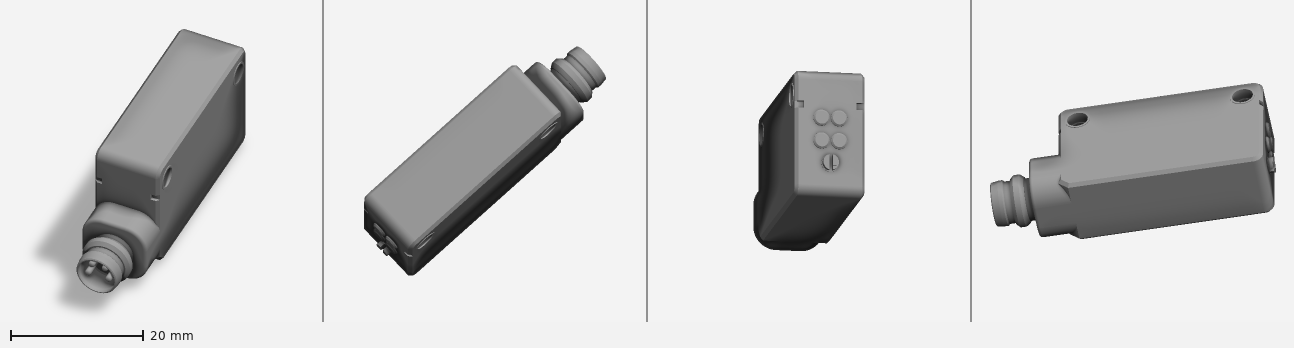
import cadquery as cq


BODY_WIDTH = 10.8
BODY_LENGTH = 31.5
BODY_HEIGHT = 19.5
CORNER_RADIUS = 1.5
FOOT_CHAMFER = 1.5
EDGE_CHAMFER = 0.5

BUSHING_RISE = 0.1
BUSHING_DIAMETER = 3.85
COUNTERBORE_DIAMETER = 3.2
COUNTERBORE_DEPTH = 1.75
HOLE_DIAMETER = 2.6
HOLE_INSET = 3.05
HOLE_DROP = 3.45

NOTCH_BOTTOM = 13.5
NOTCH_HEIGHT = 1.05
NOTCH_WIDTH = 1.35
NOTCH_DEPTH = 0.5

BOSS_REACH = 4.5
BOSS_HEIGHT = 10.35
BOSS_CORNER_RADIUS = 3.5
BOSS_FRONT_FILLET = 0.5

AXIS_HEIGHT = 5.05
CONNECTOR_LENGTH = 6.3
CONNECTOR_ROOT_DEPTH = 0.5
NECK_RADIUS = 3.25
COLLAR_RADIUS = 4.0
COLLAR_SIDE_RADIUS = 3.5
COLLAR_START = 1.1
COLLAR_FLAT_START = 1.8
COLLAR_FLAT_END = 2.7
COLLAR_END = 3.25
LIP_RADIUS = 3.5
LIP_START = 4.25
LIP_BEVEL = 0.25
LIP_FLAT_END = 5.1
TIP_RADIUS = 3.35
TIP_CHAMFER = 0.15
SOCKET_RADIUS = 3.05
SOCKET_FLOOR_BEVEL = 0.2
SOCKET_DEPTH = 4.0

PIN_DIAMETER = 1.0
PIN_RECESS = 0.45
PIN_END_FILLET = 0.4
PIN_ROOT_DEPTH = 0.5
UPPER_PIN_X = 1.1
UPPER_PIN_RISE = 1.45
LOWER_PIN_X = 1.7
LOWER_PIN_DROP = 0.5

LENS_RADIUS = 1.25
LENS_BEVEL = 0.25
LENS_HEIGHT = 0.42
LENS_X = 1.35
LENS_LEVELS = (12.0, 8.45)
ADJUSTER_RADIUS = 1.2
ADJUSTER_HEIGHT = 0.9
ADJUSTER_LEVEL = 5.0
ADJUSTER_BASE_RADIUS = 1.35
ADJUSTER_BASE_HEIGHT = 0.1
ADJUSTER_STEP_DEPTH = 0.12
ADJUSTER_STEP_DROP = 0.6
SLOT_WIDTH = 0.55

HALF_WIDTH = BODY_WIDTH / 2
TIP_Y = -BOSS_REACH - CONNECTOR_LENGTH
SOCKET_FLOOR_Y = TIP_Y + SOCKET_DEPTH


def box_between(x_range, y_range, z_range):
    """Axis-aligned box between the given limits."""
    corner = (x_range[0], y_range[0], z_range[0])
    size = (x_range[1] - x_range[0], y_range[1] - y_range[0], z_range[1] - z_range[0])
    return cq.Workplane("XY").box(*size, centered=False).translate(corner)


def rod(radius, start_y, length, x, z):
    """Cylinder running from start_y toward +Y."""
    return cq.Workplane(cq.Solid.makeCylinder(radius, length, cq.Vector(x, start_y, z), cq.Vector(0, 1, 0)))


def housing():
    """Flat housing with rounded corners, a sloped front foot and bevelled side edges."""
    body = box_between((-HALF_WIDTH, HALF_WIDTH), (0, BODY_LENGTH), (0, BODY_HEIGHT))
    body = body.edges("|X").edges(">Z or >Y").fillet(CORNER_RADIUS)
    body = body.faces("<Y").edges("<Z").chamfer(FOOT_CHAMFER)
    return body.faces("<X or >X").edges().chamfer(EDGE_CHAMFER)


def boss():
    """Rounded block at the lower front, running back inside the housing."""
    block = box_between((-HALF_WIDTH, HALF_WIDTH), (-BOSS_REACH, FOOT_CHAMFER), (0, BOSS_HEIGHT))
    block = block.edges("|Y").fillet(BOSS_CORNER_RADIUS)
    return block.faces("<Y").edges().fillet(BOSS_FRONT_FILLET)


def add_bushings(body):
    """Raised rings round the mounting holes, counterbored from both sides."""
    hole_z = BODY_HEIGHT - HOLE_DROP
    full_width = BODY_WIDTH + 2 * BUSHING_RISE
    web_width = full_width - 2 * COUNTERBORE_DEPTH
    for hole_y in (HOLE_INSET, BODY_LENGTH - HOLE_INSET):
        def across(diameter, width):
            plane = cq.Workplane("YZ").center(hole_y, hole_z)
            return plane.circle(diameter / 2).extrude(width / 2, both=True)

        bore = across(COUNTERBORE_DIAMETER, full_width).cut(across(COUNTERBORE_DIAMETER, web_width))
        bore = bore.union(across(HOLE_DIAMETER, full_width))
        body = body.union(across(BUSHING_DIAMETER, full_width)).cut(bore)
    return body


def cut_notches(body):
    """Small notches in the four upright edges."""
    z_range = (NOTCH_BOTTOM, NOTCH_BOTTOM + NOTCH_HEIGHT)
    inner_x = HALF_WIDTH - NOTCH_WIDTH
    for x_range in ((-HALF_WIDTH, -inner_x), (inner_x, HALF_WIDTH)):
        for y_range in ((0, NOTCH_DEPTH), (BODY_LENGTH - NOTCH_DEPTH, BODY_LENGTH)):
            body = body.cut(box_between(x_range, y_range, z_range))
    return body


def connector():
    """Turned plug with a collar, a snap lip and a round socket open at the tip."""
    socket_floor = CONNECTOR_LENGTH - SOCKET_DEPTH
    root = -CONNECTOR_ROOT_DEPTH
    profile = [
        (0, root),
        (NECK_RADIUS, root),
        (NECK_RADIUS, COLLAR_START),
        (COLLAR_SIDE_RADIUS, COLLAR_START),
        (COLLAR_RADIUS, COLLAR_FLAT_START),
        (COLLAR_RADIUS, COLLAR_FLAT_END),
        (COLLAR_SIDE_RADIUS, COLLAR_END),
        (NECK_RADIUS, COLLAR_END),
        (NECK_RADIUS, LIP_START),
        (LIP_RADIUS, LIP_START + LIP_BEVEL),
        (LIP_RADIUS, LIP_FLAT_END),
        (TIP_RADIUS, CONNECTOR_LENGTH - TIP_CHAMFER),
        (TIP_RADIUS - TIP_CHAMFER, CONNECTOR_LENGTH),
        (SOCKET_RADIUS, CONNECTOR_LENGTH),
        (SOCKET_RADIUS, socket_floor + SOCKET_FLOOR_BEVEL),
        (SOCKET_RADIUS - SOCKET_FLOOR_BEVEL, socket_floor),
        (0, socket_floor),
    ]
    turned = cq.Workplane("XY").polyline(profile).close().revolve(360, (0, 0, 0), (0, 1, 0))
    turned = turned.mirror("XZ")
    return turned.translate((0, -BOSS_REACH, AXIS_HEIGHT))


def pins():
    """Four round-ended contact pins rooted in the socket floor."""
    radius = PIN_DIAMETER / 2
    end_y = TIP_Y + PIN_RECESS
    length = SOCKET_FLOOR_Y + PIN_ROOT_DEPTH - end_y
    group = cq.Workplane("XY")
    for side in (-1, 1):
        for x, rise in ((UPPER_PIN_X, UPPER_PIN_RISE), (LOWER_PIN_X, -LOWER_PIN_DROP)):
            pin = rod(radius, end_y, length, side * x, AXIS_HEIGHT + rise)
            group = group.add(pin.faces("<Y").edges().fillet(PIN_END_FILLET))
    return group.combine()


def lenses():
    """Two rows of low bevelled indicator lenses on the rear face."""
    group = cq.Workplane("XY")
    for z in LENS_LEVELS:
        for x in (-LENS_X, LENS_X):
            lens = rod(LENS_RADIUS, BODY_LENGTH, LENS_HEIGHT, x, z)
            group = group.add(lens.faces(">Y").edges().chamfer(LENS_BEVEL))
    return group.combine()


def adjuster():
    """Slotted adjusting screw on a thin base, its head stepped down along the lower side."""
    head_y = BODY_LENGTH + ADJUSTER_HEIGHT
    head_bottom = ADJUSTER_LEVEL - ADJUSTER_RADIUS
    head_top = ADJUSTER_LEVEL + ADJUSTER_RADIUS
    head = rod(ADJUSTER_RADIUS, BODY_LENGTH, ADJUSTER_HEIGHT, 0, ADJUSTER_LEVEL)
    slot = box_between((-SLOT_WIDTH / 2, SLOT_WIDTH / 2), (BODY_LENGTH, head_y), (head_bottom, head_top))
    step = box_between(
        (-ADJUSTER_RADIUS, ADJUSTER_RADIUS),
        (head_y - ADJUSTER_STEP_DEPTH, head_y),
        (head_bottom, ADJUSTER_LEVEL - ADJUSTER_STEP_DROP),
    )
    base = rod(ADJUSTER_BASE_RADIUS, BODY_LENGTH, ADJUSTER_BASE_HEIGHT, 0, ADJUSTER_LEVEL)
    return head.cut(slot).cut(step).union(base)


result = cut_notches(add_bushings(housing()))
result = result.union(boss()).union(connector()).union(pins())
result = result.union(lenses()).union(adjuster())